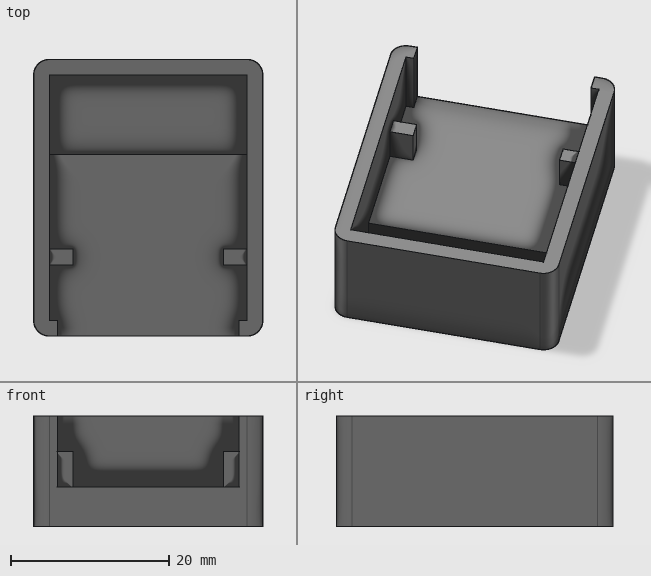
import cadquery as cq

length = 35.0
width = 29.0
height = 14.0
wall = 2.0
corner_radius = wall

raised_floor_z = 5.0
raised_floor_end = 23.0

post_width = 3.0
post_depth = wall
post_front = 9.0
post_top_z = 9.5

opening_width = 23.0

inner_width = width - 2 * wall


def block(size_x, y_start, y_end, z_start, z_end, x_center=0):
    """Box centred on x_center, spanning the given Y and Z ranges."""
    return (
        cq.Workplane("XY", origin=(x_center, y_start, z_start))
        .box(size_x, y_end - y_start, z_end - z_start, centered=(True, False, False))
    )


tray = block(width, 0, length, 0, height).edges("|Z").fillet(corner_radius)
tray = tray.cut(block(inner_width, wall, length - wall, wall, height))

tray = tray.union(block(inner_width, wall, raised_floor_end, wall, raised_floor_z))
tray = tray.cut(block(opening_width, 0, wall, raised_floor_z, height))

for side in (-1, 1):
    post_x = side * (inner_width - post_width) / 2
    post_end = post_front + post_depth
    tray = tray.union(block(post_width, post_front, post_end, raised_floor_z, post_top_z, post_x))

result = tray